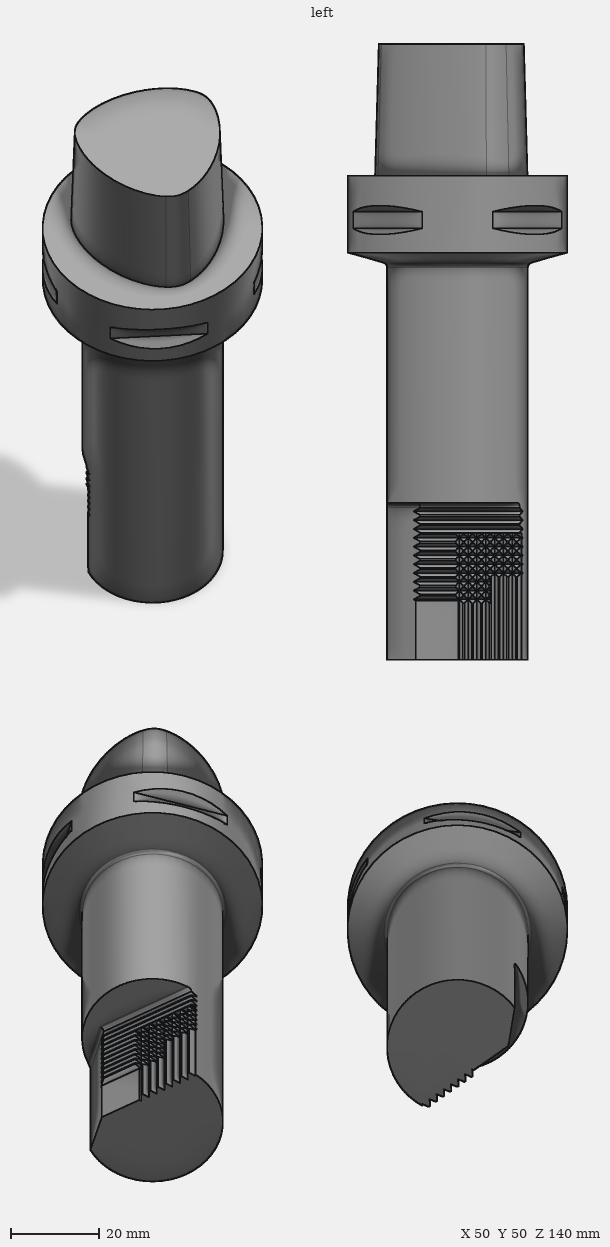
import cadquery as cq
import math

total_height = 140.0
flange_top = 110.0
flange_rim_bottom = 92.5
cone_bottom = 90.0

flange_radius = 50.0 / 2
shank_radius = 32.0 / 2
neck_fillet = 1.0

slot_count = 4
slot_first_angle = 45.0
slot_floor_distance = 22.4
slot_height = 100.0
slot_floor_width = 3.8
slot_mouth_width = 6.6

base_mean_radius = 17.4
top_mean_radius = 16.5
eccentricity = 1.4
lobe_count = 3
first_lobe_angle = 90.0
lobe_half_angle = 21.0
points_per_face = 9

relief_height = 35.7
flat_x = -7.5
flat_edge_y = 8.5
relief_fillet = 1.0

groove_depth = 1.4
groove_half_angle = 30.0
groove_half_width = groove_depth * math.tan(math.radians(groove_half_angle))
first_cross_z = 33.7
last_cross_z = 13.7
inner_cross_count = 11
outer_cross_count = 8
pitch = (first_cross_z - last_cross_z) / (inner_cross_count - 1)
plain_cross_count = 3
first_long_y = -0.4
long_count = 8
inner_long_count = 4

corner_depth = 1.0
corner_height = last_cross_z


def polygon_point(mean_radius, normal_degrees):
    """Point of the constant-width polygon where its outward normal has the given direction."""
    angle = math.radians(normal_degrees)
    phase = lobe_count * math.radians(normal_degrees - first_lobe_angle)
    support = mean_radius + eccentricity * math.cos(phase)
    slope = -lobe_count * eccentricity * math.sin(phase)
    x = support * math.cos(angle) - slope * math.sin(angle)
    y = support * math.sin(angle) + slope * math.cos(angle)
    return x, y


def polygon_wire(mean_radius, z):
    """Closed outline with one edge for each lobe and one for each side."""
    lobe_step = 360.0 / lobe_count
    edges = []
    for lobe in range(lobe_count):
        centre = first_lobe_angle + lobe * lobe_step
        lobe_start = centre - lobe_half_angle
        lobe_end = centre + lobe_half_angle
        for start, end in [(lobe_start, lobe_end), (lobe_end, lobe_start + lobe_step)]:
            step = (end - start) / (points_per_face - 1)
            points = []
            for i in range(points_per_face):
                x, y = polygon_point(mean_radius, start + i * step)
                points.append(cq.Vector(x, y, z))
            edges.append(cq.Edge.makeSpline(points))
    return cq.Wire.assembleEdges(edges)


def make_taper():
    base = polygon_wire(base_mean_radius, flange_top)
    top = polygon_wire(top_mean_radius, total_height)
    return cq.Workplane(cq.Solid.makeLoft([base, top], True))


def make_turned_blank():
    """Shank and flange, with a fillet under the flange's conical underside."""
    profile = (
        cq.Workplane("XZ")
        .moveTo(0, 0)
        .lineTo(shank_radius, 0)
        .lineTo(shank_radius, cone_bottom)
        .lineTo(flange_radius, flange_rim_bottom)
        .lineTo(flange_radius, flange_top)
        .lineTo(0, flange_top)
        .close()
    )
    blank = profile.revolve(360, (0, 0, 0), (0, 1, 0))
    neck_margin = (flange_rim_bottom - cone_bottom) / 2
    neck = cq.selectors.BoxSelector(
        (-flange_radius, -flange_radius, cone_bottom - neck_margin),
        (flange_radius, flange_radius, cone_bottom + neck_margin),
    )
    return blank.edges(neck).fillet(neck_fillet)


def gripper_slot(angle):
    """Flat-bottomed V slot, straight across the rim at the given direction."""
    flare = (slot_mouth_width - slot_floor_width) / 2 / (flange_radius - slot_floor_distance)
    outer_distance = 2 * flange_radius - slot_floor_distance
    floor_half = slot_floor_width / 2
    outer_half = floor_half + flare * (outer_distance - slot_floor_distance)
    slot = (
        cq.Workplane("XZ")
        .polyline([
            (slot_floor_distance, slot_height - floor_half),
            (outer_distance, slot_height - outer_half),
            (outer_distance, slot_height + outer_half),
            (slot_floor_distance, slot_height + floor_half),
        ])
        .close()
        .extrude(flange_radius, both=True)
    )
    return slot.rotate((0, 0, 0), (0, 0, 1), angle)


def relief_cut():
    """Space in front of the serrated flat and of the 45 degree face beside it."""
    reach = 2 * shank_radius
    return (
        cq.Workplane("XY")
        .polyline([
            (flat_x, -reach),
            (flat_x, flat_edge_y),
            (flat_x + reach, flat_edge_y + reach),
            (-reach, flat_edge_y + reach),
            (-reach, -reach),
        ])
        .close()
        .extrude(relief_height)
        .faces(">Z").edges("not (<X or <Y or >Y)")
        .fillet(relief_fillet)
    )


def groove_section(plane, origin):
    """V section whose valley lies on its plane's X axis, opening towards -X."""
    return (
        cq.Workplane(plane, origin=origin)
        .polyline([
            (flat_x, groove_half_width),
            (flat_x + groove_depth, 0),
            (flat_x, -groove_half_width),
        ])
        .close()
    )


def cross_groove(z, y_min, y_max):
    """V groove along Y."""
    return groove_section("XZ", (0, y_max, z)).extrude(y_max - y_min)


def long_groove(y, height):
    """V groove along Z, open at the shank end."""
    return groove_section("XY", (0, y, 0)).extrude(height)


def corner_cut():
    """Block that lowers the plain corner of the flat."""
    return (
        cq.Workplane("XY")
        .box(corner_depth, shank_radius - first_long_y, corner_height, centered=False)
        .translate((flat_x, first_long_y, 0))
    )


def cut_serrations(body):
    border_y = first_long_y - (inner_long_count - 0.5) * pitch
    for i in range(inner_cross_count):
        y_min = -shank_radius if i < outer_cross_count else border_y
        body = body.cut(cross_groove(first_cross_z - i * pitch, y_min, shank_radius))
    long_height = first_cross_z - (plain_cross_count - 0.5) * pitch
    for i in range(long_count):
        body = body.cut(long_groove(first_long_y - i * pitch, long_height))
    return body


def make_holder():
    body = make_turned_blank()
    for i in range(slot_count):
        body = body.cut(gripper_slot(slot_first_angle + i * 360 / slot_count))
    body = body.cut(relief_cut())
    body = cut_serrations(body)
    return body.cut(corner_cut())


taper = make_taper()
holder = make_holder()

result = cq.Compound.makeCompound([holder.val(), taper.val()])